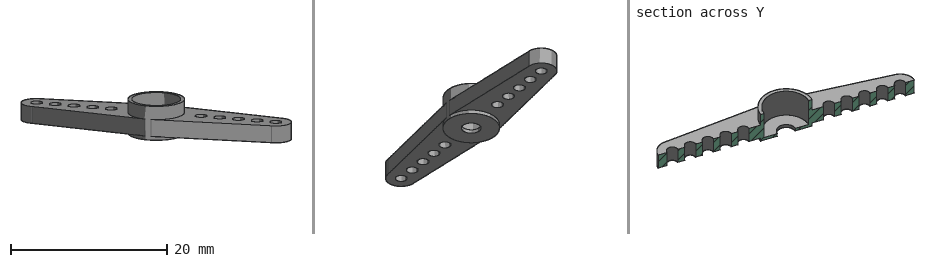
import cadquery as cq
import math

hub_diameter = 7.25
hub_height = 4.5
socket_diameter = 6.25
socket_floor = 0.5
screw_hole_diameter = 2.5

overall_length = 36.0
tip_radius = 2.0
arm_bottom = 0.5
arm_thickness = 2.25

link_hole_diameter = 1.5
link_hole_count = 5
link_hole_pitch = 2.5

hub_radius = hub_diameter / 2
tip_center = overall_length / 2 - tip_radius


def make_arms():
    """Double arm with half-round tips and straight sides tangent to the hub."""
    corner_distance = math.hypot(tip_center, tip_radius)
    tangent_angle = math.atan2(tip_radius, tip_center) + math.acos(hub_radius / corner_distance)
    hub_x = hub_radius * math.cos(tangent_angle)
    hub_y = hub_radius * math.sin(tangent_angle)
    tip_end = overall_length / 2
    return (
        cq.Workplane("XY", origin=(0, 0, arm_bottom))
        .moveTo(hub_x, hub_y)
        .lineTo(tip_center, tip_radius)
        .threePointArc((tip_end, 0), (tip_center, -tip_radius))
        .lineTo(hub_x, -hub_y)
        .lineTo(-hub_x, -hub_y)
        .lineTo(-tip_center, -tip_radius)
        .threePointArc((-tip_end, 0), (-tip_center, tip_radius))
        .lineTo(-hub_x, hub_y)
        .close()
        .extrude(arm_thickness)
    )


def make_hub():
    """Round boss through the middle of the arms, proud of them above and below."""
    return cq.Workplane("XY").circle(hub_radius).extrude(hub_height)


def make_hub_bore():
    """Stepped bore: screw hole through the floor and a wide socket open at the top."""
    screw_hole = cq.Workplane("XY").circle(screw_hole_diameter / 2).extrude(hub_height)
    socket = (
        cq.Workplane("XY", origin=(0, 0, socket_floor))
        .circle(socket_diameter / 2)
        .extrude(hub_height - socket_floor)
    )
    return screw_hole.union(socket)


def make_link_holes():
    """Row of holes on both arms, the outermost concentric with the tip."""
    centers = []
    for side in (-1, 1):
        for index in range(link_hole_count):
            centers.append((side * (tip_center - index * link_hole_pitch), 0))
    return (
        cq.Workplane("XY", origin=(0, 0, arm_bottom))
        .pushPoints(centers)
        .circle(link_hole_diameter / 2)
        .extrude(arm_thickness)
    )


result = make_arms().union(make_hub()).cut(make_hub_bore()).cut(make_link_holes())